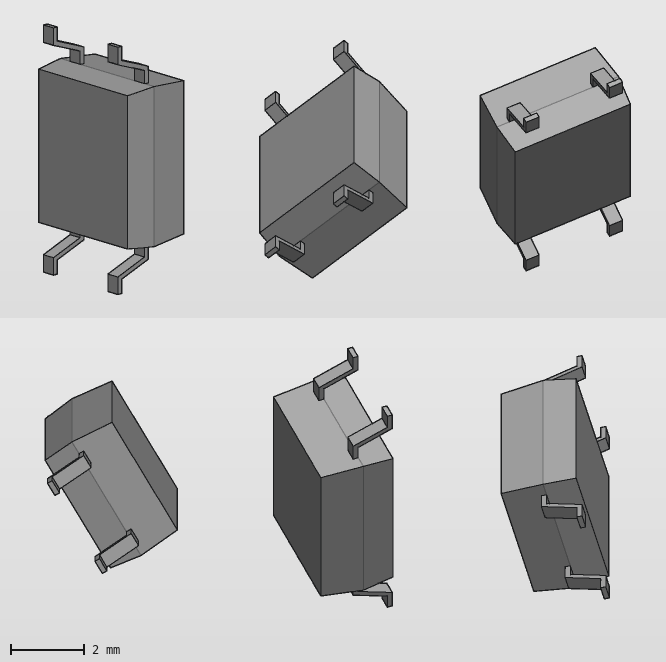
import cadquery as cq

overall_length = 7.0
body_width = 3.7
body_length = 4.535
draft_inset = 0.1
front_depth = 0.9
back_depth = 1.205

lead_width = 0.4
lead_pitch = 2.54
lead_thickness = 0.15
foot_front = -0.995
foot_length = 0.5
shoulder_height = 0.37
bend_shift = 0.09
lead_embed = 0.21


def body_half(depth):
    """Tapered half of the body, from the parting plane Y=0 to Y=depth."""
    return (
        cq.Workplane("XZ")
        .rect(body_width, body_length)
        .workplane(offset=-depth)
        .rect(body_width - 2 * draft_inset, body_length - 2 * draft_inset)
        .loft(ruled=True)
    )


def upper_lead(center_x):
    """Gull-wing lead leaving the top end of the body with its front surface at Y=0."""
    tip_z = overall_length / 2
    body_end_z = body_length / 2
    foot_z = tip_z - foot_length
    shoulder_z = body_end_z + shoulder_height
    root_z = body_end_z - lead_embed
    profile = [
        (0, root_z),
        (0, shoulder_z),
        (foot_front, foot_z),
        (foot_front, tip_z),
        (foot_front + lead_thickness, tip_z),
        (foot_front + lead_thickness, foot_z + bend_shift),
        (lead_thickness, shoulder_z + bend_shift),
        (lead_thickness, root_z),
    ]
    return (
        cq.Workplane("YZ", origin=(center_x, 0, 0))
        .polyline(profile)
        .close()
        .extrude(lead_width / 2, both=True)
    )


result = body_half(-front_depth).union(body_half(back_depth))

for side in (-1, 1):
    lead = upper_lead(side * lead_pitch / 2)
    result = result.union(lead).union(lead.mirror("XY"))